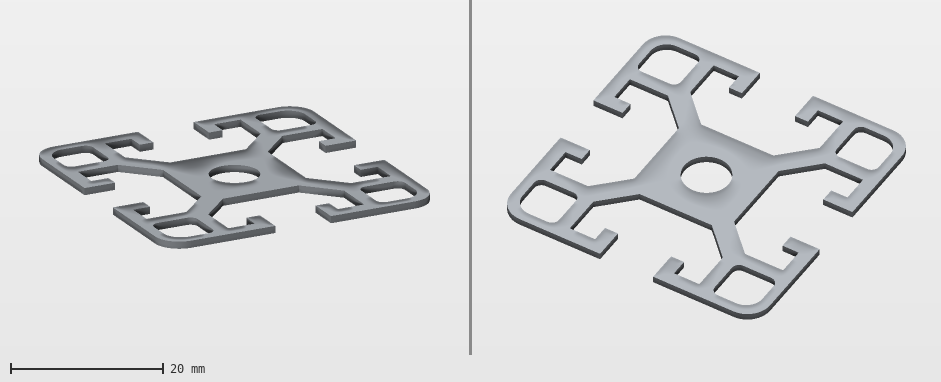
import cadquery as cq
import math

side = 40.0
thickness = 1.0
corner_radius = 3.5
half_side = side / 2

core_half_width = 7.7
bore_diameter = 6.8

slot_half_width = 4.1
slot_wall = 2.0
lip_depth = 4.5
chamber_half_width = 10.0

web_thickness = 3.0
web_half_width_along_axis = web_thickness / 2 * math.sqrt(2)

hollow_wall = 1.5
hollow_side = 6.47
hollow_outer_radius = 2.5
hollow_inner_radius = 1.1

quarter_turns = [0, 90, 180, 270]


def make_plate():
    return cq.Workplane("XY").rect(side, side).extrude(thickness).edges("|Z").fillet(corner_radius)


def make_slot():
    """T-slot opening on the +Y side, tapering at 45 degrees to the core."""
    lip_inner_x = slot_half_width + slot_wall
    lip_end_y = half_side - lip_depth
    chamber_top_y = half_side - slot_wall
    taper_start_y = chamber_half_width + web_half_width_along_axis
    floor_half_width = core_half_width - web_half_width_along_axis
    right_edge = [
        (slot_half_width, half_side),
        (slot_half_width, lip_end_y),
        (lip_inner_x, lip_end_y),
        (lip_inner_x, chamber_top_y),
        (chamber_half_width, chamber_top_y),
        (chamber_half_width, taper_start_y),
        (floor_half_width, core_half_width),
    ]
    left_edge = [(-x, y) for x, y in reversed(right_edge)]
    return cq.Workplane("XY").polyline(right_edge + left_edge).close().extrude(thickness)


def make_corner_hollow():
    """Rounded square hollow in the +X +Y corner, roundest at its outer corner."""
    outer = half_side - hollow_wall
    center = outer - hollow_side / 2
    hollow = cq.Workplane("XY").center(center, center).rect(hollow_side, hollow_side).extrude(thickness)
    outer_edge = cq.selectors.NearestToPointSelector((outer, outer, thickness / 2))
    upright_edges = cq.selectors.StringSyntaxSelector("|Z")
    hollow = hollow.edges(upright_edges - outer_edge).fillet(hollow_inner_radius)
    return hollow.edges(outer_edge).fillet(hollow_outer_radius)


def make_bore():
    return cq.Workplane("XY").circle(bore_diameter / 2).extrude(thickness)


result = make_plate().cut(make_bore())
slot = make_slot()
corner_hollow = make_corner_hollow()
for angle in quarter_turns:
    result = result.cut(slot.rotate((0, 0, 0), (0, 0, 1), angle))
    result = result.cut(corner_hollow.rotate((0, 0, 0), (0, 0, 1), angle))